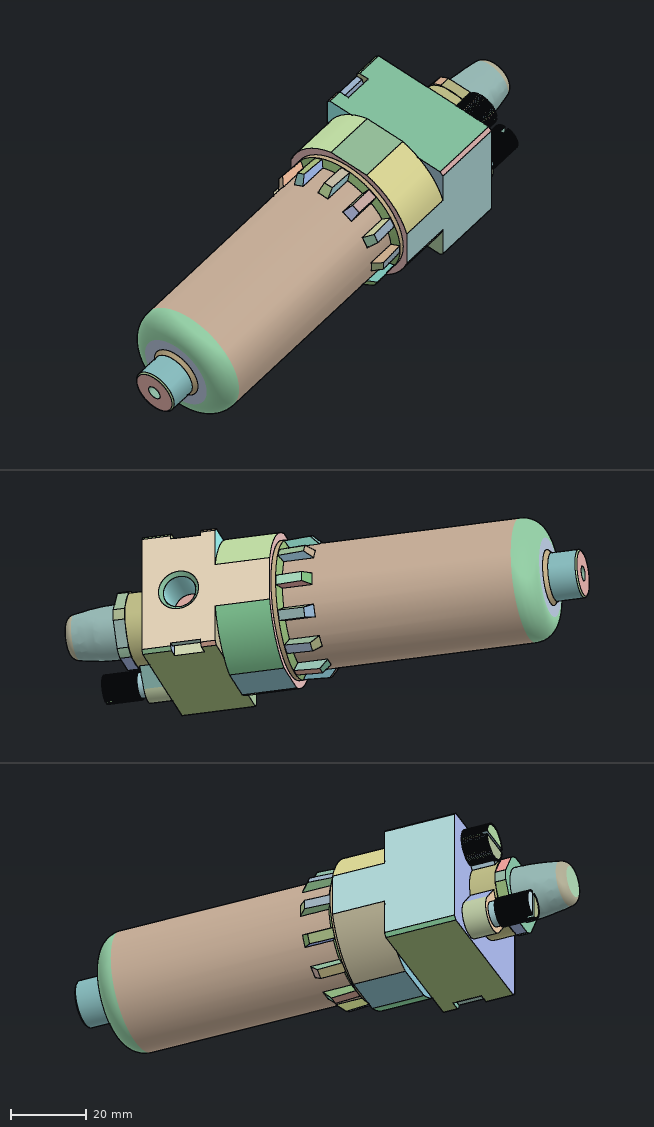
import cadquery as cq
import math


overall_length = 142.0

dial_tip_radius = 4.3
dial_shoulder_radius = 6.2
dial_base_radius = 7.5
dial_shoulder = 2.3
dial_shoulder_arc = 2.5
dial_flare_angle = 12

flange_start = 15.0
flange_flats = 19.5
flange_corner_diameter = 20.9
collar_start = 18.2
collar_diameter = 20.0

block_start = 25.7
block_end = 46.0
block_width = 40.0
block_height = 34.6
block_chamfer = 1.0

port_diameter = 9.0
port_mouth_diameter = 11.1
port_chamfer = (port_mouth_diameter - port_diameter) / 2
port_depth = 12.0
port_position = (block_start + block_end) / 2

notch_position = 37.8
notch_length = 8.2
notch_width = 4.0
notch_depth = 1.8
groove_width = 2.1
groove_floor_width = 1.4
groove_depth = 3.8

neck_end = 61.0
neck_diameter = 41.9

guard_diameter = 37.6
guard_rim_end = 62.3
guard_cone_end = 63.6
rib_count = 12
rib_end = 71.9
rib_start_radius = 18.6
rib_tip_radius = 19.0
rib_bevel = 2.3
rib_embedment = 1.4
rib_base_width = 3.8
rib_top_width = 2.7

bowl_diameter = 33.5
bowl_end = 132.9
bowl_fillet = 6.1
drain_root_diameter = 15.0
drain_diameter = 13.0
drain_root_length = 1.1
drain_chamfer = 0.4
drain_hole_diameter = 4.0
drain_hole_depth = 7.1

knurl_teeth = 72
knurl_depth = 0.3
filler_x = 10.5
filler_z = 11.4
filler_diameter = 10.2
filler_slot_width = 1.0
filler_slot_depth = 1.7
filler_web_width = 4.5
filler_web_start = 19.0
adjuster_x = 9.8
adjuster_z = -11.5
adjuster_diameter = 8.0
adjuster_start = 7.2
adjuster_end = 16.9
adjuster_slot_width = 1.0
adjuster_slot_depth = 2.1
adjuster_neck_diameter = 7.0
adjuster_lug_width = 10.2
adjuster_lug_start = 18.9


def section(start, x=0, z=0):
    """Sketch plane across the axis; extruding from it runs toward the drain."""
    return cq.Workplane("XZ", origin=(x, -start, z))


def cylinder(diameter, start, end, x=0, z=0):
    return section(start, x, z).circle(diameter / 2).extrude(end - start)


def turned(outline):
    return outline.close().revolve(360, (0, 0, 0), (0, 1, 0))


def dial():
    flare = math.radians(dial_flare_angle)
    outline = (
        cq.Workplane("XY")
        .lineTo(dial_tip_radius, 0)
        .radiusArc((dial_shoulder_radius, -dial_shoulder), dial_shoulder_arc)
        .spline(
            [(dial_base_radius, -flange_start)],
            tangents=[(math.sin(flare), -math.cos(flare)), (0, -1)],
            includeCurrent=True,
        )
        .lineTo(0, -flange_start)
    )
    return turned(outline)


def flange():
    length = collar_start - flange_start
    across_corners = flange_flats / math.cos(math.pi / 6)
    hexagon = section(flange_start).polygon(6, across_corners).extrude(length)
    return hexagon.intersect(cylinder(flange_corner_diameter, flange_start, collar_start))


def block():
    body = section(block_start).rect(block_width, block_height).extrude(block_end - block_start)
    return body.edges("|Y").chamfer(block_chamfer)


def port():
    side = cq.Workplane("YZ", origin=(-block_width / 2, -port_position, 0))
    bore = side.circle(port_diameter / 2).extrude(port_depth)
    mouth = cq.Solid.makeCone(
        port_mouth_diameter / 2,
        port_diameter / 2,
        port_chamfer,
        cq.Vector(-block_width / 2, -port_position, 0),
        cq.Vector(1, 0, 0),
    )
    return bore.union(cq.Workplane(mouth))


def coupling_notch():
    """Notch in the upper -X edge, with a deeper groove along its inner wall."""
    start = notch_position - notch_length / 2
    inner_wall = notch_width - block_width / 2
    top = block_height / 2
    outline = (
        section(start)
        .moveTo(-block_width / 2, top)
        .lineTo(-block_width / 2, top - notch_depth)
        .lineTo(inner_wall - groove_width, top - notch_depth)
        .lineTo(inner_wall - groove_floor_width, top - groove_depth)
        .lineTo(inner_wall, top - groove_depth)
        .lineTo(inner_wall, top)
    )
    return outline.close().extrude(notch_length)


def neck():
    length = neck_end - block_end
    square = section(block_end).rect(block_width, block_width).extrude(length)
    return square.intersect(cylinder(neck_diameter, block_end, neck_end))


def guard_and_bowl():
    bowl_radius = bowl_diameter / 2
    drain_radius = drain_diameter / 2
    outline = (
        cq.Workplane("XY")
        .moveTo(0, -neck_end)
        .lineTo(guard_diameter / 2, -neck_end)
        .lineTo(guard_diameter / 2, -guard_rim_end)
        .lineTo(bowl_radius, -guard_cone_end)
        .lineTo(bowl_radius, bowl_fillet - bowl_end)
        .radiusArc((bowl_radius - bowl_fillet, -bowl_end), bowl_fillet)
        .lineTo(drain_root_diameter / 2, -bowl_end)
        .lineTo(drain_radius, -bowl_end - drain_root_length)
        .lineTo(drain_radius, drain_chamfer - overall_length)
        .lineTo(drain_radius - drain_chamfer, -overall_length)
        .lineTo(0, -overall_length)
    )
    hole = cylinder(drain_hole_diameter, overall_length - drain_hole_depth, overall_length)
    return turned(outline).cut(hole)


def guard_ribs():
    """Ribs that narrow outward, rise slightly along the bowl and end in a bevel."""
    root_radius = bowl_diameter / 2 - rib_embedment
    flank = (
        section(neck_end)
        .moveTo(-rib_base_width / 2, root_radius)
        .lineTo(rib_base_width / 2, root_radius)
        .lineTo(rib_top_width / 2, rib_tip_radius)
        .lineTo(-rib_top_width / 2, rib_tip_radius)
        .close()
        .extrude(rib_end - neck_end)
    )
    profile = (
        cq.Workplane("YZ", origin=(-rib_base_width / 2, 0, 0))
        .moveTo(-neck_end, root_radius)
        .lineTo(-neck_end, rib_start_radius)
        .lineTo(rib_bevel - rib_end, rib_tip_radius)
        .lineTo(-rib_end, bowl_diameter / 2)
        .lineTo(-rib_end, root_radius)
        .close()
        .extrude(rib_base_width)
    )
    rib = flank.intersect(profile)
    ribs = cq.Workplane("XY")
    for index in range(rib_count):
        ribs = ribs.add(rib.rotate((0, 0, 0), (0, 1, 0), index * 360 / rib_count))
    return ribs.combine()


def knurled_cylinder(diameter, start, end, x, z):
    points = []
    for index in range(2 * knurl_teeth):
        angle = math.pi * index / knurl_teeth
        radius = diameter / 2 - knurl_depth * (index % 2)
        points.append((radius * math.cos(angle), radius * math.sin(angle)))
    return section(start, x, z).polyline(points).close().extrude(end - start)


def lug(width, start, x, z, round_end):
    """Straight arm from the axis to (x, z), optionally rounded around (x, z)."""
    length = block_start - start
    reach = math.hypot(x, z)
    arm = section(start).center(reach / 2, 0).rect(reach, width).extrude(length)
    arm = arm.rotate((0, 0, 0), (0, 1, 0), -math.degrees(math.atan2(z, x)))
    if round_end:
        arm = arm.union(cylinder(width, start, block_start, x, z))
    return arm


def filler_screw():
    screw = knurled_cylinder(filler_diameter, collar_start, block_start, filler_x, filler_z)
    slot = (
        section(collar_start, filler_x, filler_z)
        .rect(filler_diameter, filler_slot_width)
        .extrude(filler_slot_depth)
    )
    web = lug(filler_web_width, filler_web_start, filler_x, filler_z, round_end=False)
    return screw.cut(slot).union(web)


def adjuster_screw():
    screw = knurled_cylinder(adjuster_diameter, adjuster_start, adjuster_end, adjuster_x, adjuster_z)
    slot = (
        section(adjuster_start, adjuster_x, adjuster_z)
        .rect(adjuster_slot_width, adjuster_diameter)
        .extrude(adjuster_slot_depth)
    )
    stem = cylinder(adjuster_neck_diameter, adjuster_end, adjuster_lug_start, adjuster_x, adjuster_z)
    base = lug(adjuster_lug_width, adjuster_lug_start, adjuster_x, adjuster_z, round_end=True)
    return screw.cut(slot).union(stem).union(base)


notch = coupling_notch()
head = block().cut(port()).cut(notch).cut(notch.mirror("XY"))
result = (
    head.union(cylinder(collar_diameter, collar_start, block_start))
    .union(flange())
    .union(dial())
    .union(filler_screw())
    .union(adjuster_screw())
    .union(neck())
    .union(guard_and_bowl())
    .union(guard_ribs())
)